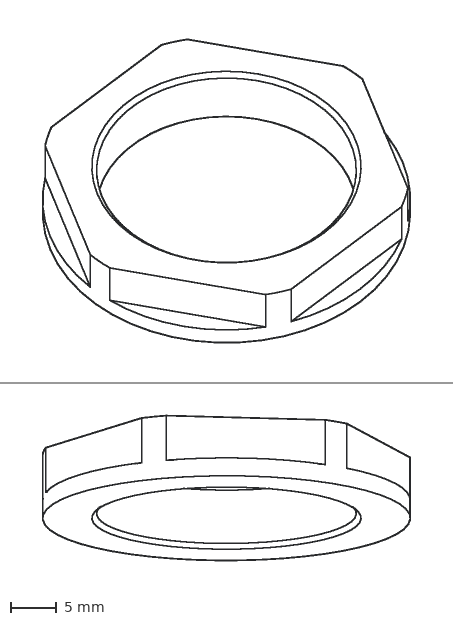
import cadquery as cq

outer_diameter = 40.0
across_flats = 36.0
total_height = 7.0
flange_height = 2.0
bore_diameter = 28.25
chamfer_size = 0.5


def hex_prism(height):
    """Hexagonal prism with one pair of flats facing +X and -X: three slabs in common."""
    slab = cq.Workplane("XY").box(
        across_flats, 2 * outer_diameter, height, centered=(True, True, False)
    )
    prism = slab
    for angle in (60, 120):
        prism = prism.intersect(slab.rotate((0, 0, 0), (0, 0, 1), angle))
    return prism


blank = cq.Workplane("XY").circle(outer_diameter / 2).extrude(total_height)
flange = cq.Workplane("XY").circle(outer_diameter / 2).extrude(flange_height)
nut = blank.intersect(hex_prism(total_height)).union(flange)

nut = nut.cut(cq.Workplane("XY").circle(bore_diameter / 2).extrude(total_height))
bore_mouths = nut.edges(cq.selectors.RadiusNthSelector(0))
result = bore_mouths.chamfer(chamfer_size)